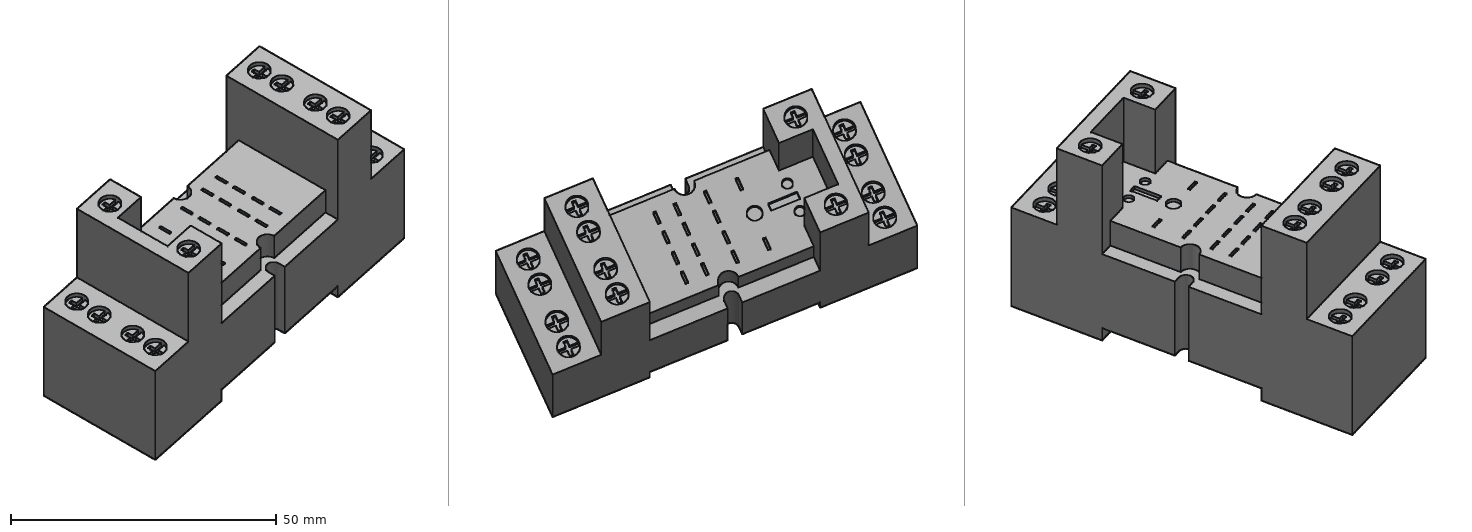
import cadquery as cq

LENGTH = 75.0
WIDTH = 27.0
HEIGHT = 42.5

STEP_LENGTH = LENGTH * 2 / 15
SHOULDER_HEIGHT = 24.0
LEDGE_HEIGHT = 21.0
RAIL_GAP_HEIGHT = 3.0

DECK_WIDTH = 21.0
DECK_HEIGHT = 27.0
BAY_LENGTH = LENGTH - 4 * STEP_LENGTH
TOWER_NOTCH_WIDTH = 12.0
TOWER_NOTCH_LENGTH = 7.0

SLOT_RADIUS = 1.5
CLEARANCE_RADIUS = 2.0

SCREW_RADIUS = 2.2
SCREW_RECESS = 1.0
CROSS_WIDTH = 0.75
CROSS_SHORT_ARM = 3.1
CROSS_LONG_ARM = 2 * SCREW_RADIUS
CROSS_DEPTH = 1.0
SCREW_OUTER_X = 9.5
SCREW_INNER_X = 4.05
SHOULDER_SCREW_Y = LENGTH / 2 - STEP_LENGTH / 2
TOWER_SCREW_Y = SHOULDER_SCREW_Y - STEP_LENGTH

PIN_LENGTH = 2.55
PIN_WIDTH = 0.5
PIN_DEPTH = 0.75
PIN_OUTER_X = 6.5
PIN_INNER_X = 2.25
PIN_FULL_ROWS_Y = (7.35, 3.15, -3.1)
PIN_COIL_ROW_Y = -9.6

KEY_DEPTH = 0.75
CENTRE_HOLE_RADIUS = 1.5
CENTRE_HOLE_Y = -9.9
KEY_SLOT_WIDTH = 1.6
KEY_SLOT_LENGTH = 5.9
KEY_SLOT_Y = -16.0
SIDE_HOLE_RADIUS = 1.05
SIDE_HOLE_X = 3.0
SIDE_HOLE_Y = -17.9


def block(size_x, size_y, bottom, top, x=0.0, y=0.0):
    """Upright box centred at (x, y) between two heights."""
    plane = cq.Workplane("XY", origin=(x, y, bottom))
    return plane.box(size_x, size_y, top - bottom, centered=(True, True, False))


def cylinder(radius, bottom, top, x, y):
    """Upright cylinder centred at (x, y) between two heights."""
    plane = cq.Workplane("XY", origin=(x, y, bottom))
    return plane.circle(radius).extrude(top - bottom)


def make_body():
    """Base with two towers, the deck between them and the gap for the mounting rail."""
    tower_span = LENGTH - 2 * STEP_LENGTH
    body = block(WIDTH, LENGTH, 0, SHOULDER_HEIGHT)
    body = body.union(block(WIDTH, tower_span, SHOULDER_HEIGHT, HEIGHT))
    body = body.cut(block(WIDTH, BAY_LENGTH, LEDGE_HEIGHT, HEIGHT))
    body = body.union(block(DECK_WIDTH, BAY_LENGTH, LEDGE_HEIGHT, DECK_HEIGHT))
    notch_y = -(BAY_LENGTH + TOWER_NOTCH_LENGTH) / 2
    body = body.cut(block(TOWER_NOTCH_WIDTH, TOWER_NOTCH_LENGTH, DECK_HEIGHT, HEIGHT, y=notch_y))
    return body.cut(block(WIDTH, BAY_LENGTH, 0, RAIL_GAP_HEIGHT))


def cut_mounting_slots(body):
    """Round-ended slot through each long side, with a wider round clearance in the deck."""
    slot_end_x = DECK_WIDTH / 2 + SLOT_RADIUS
    for side in (-1, 1):
        straight_length = WIDTH / 2 - slot_end_x
        straight_x = side * (slot_end_x + straight_length / 2)
        body = body.cut(cylinder(SLOT_RADIUS, 0, DECK_HEIGHT, side * slot_end_x, 0))
        body = body.cut(block(straight_length, 2 * SLOT_RADIUS, 0, DECK_HEIGHT, x=straight_x))
        body = body.cut(cylinder(CLEARANCE_RADIUS, LEDGE_HEIGHT, DECK_HEIGHT, side * DECK_WIDTH / 2, 0))
    return body


def cut_screw(body, x, y, top):
    """Round recess with a cross-shaped driver slot in its floor."""
    floor = top - SCREW_RECESS
    bottom = floor - CROSS_DEPTH
    head = cylinder(SCREW_RADIUS, bottom, floor, x, y)
    cross = block(CROSS_SHORT_ARM, CROSS_WIDTH, bottom, floor, x, y)
    cross = cross.union(block(CROSS_WIDTH, CROSS_LONG_ARM, bottom, floor, x, y))
    body = body.cut(cylinder(SCREW_RADIUS, floor, top, x, y))
    return body.cut(cross.intersect(head))


def cut_screws(body):
    """Four screws per terminal row, but only the outer two beside the tower notch."""
    outer_pair = (-SCREW_OUTER_X, SCREW_OUTER_X)
    full_row = outer_pair + (-SCREW_INNER_X, SCREW_INNER_X)
    rows = (
        (full_row, SHOULDER_SCREW_Y, SHOULDER_HEIGHT),
        (full_row, TOWER_SCREW_Y, HEIGHT),
        (outer_pair, -TOWER_SCREW_Y, HEIGHT),
        (full_row, -SHOULDER_SCREW_Y, SHOULDER_HEIGHT),
    )
    for row_x, y, top in rows:
        for x in row_x:
            body = cut_screw(body, x, y, top)
    return body


def cut_pin_sockets(body):
    """Three full rows of narrow sockets and one row with only the outer two."""
    outer_pair = (-PIN_OUTER_X, PIN_OUTER_X)
    full_row = outer_pair + (-PIN_INNER_X, PIN_INNER_X)
    places = [(x, y) for y in PIN_FULL_ROWS_Y for x in full_row]
    places += [(x, PIN_COIL_ROW_Y) for x in outer_pair]
    for x, y in places:
        body = body.cut(block(PIN_LENGTH, PIN_WIDTH, DECK_HEIGHT - PIN_DEPTH, DECK_HEIGHT, x, y))
    return body


def cut_key_openings(body):
    """Centre hole, key slot and the pair of small holes beside the slot."""
    floor = DECK_HEIGHT - KEY_DEPTH
    body = body.cut(cylinder(CENTRE_HOLE_RADIUS, floor, DECK_HEIGHT, 0, CENTRE_HOLE_Y))
    body = body.cut(block(KEY_SLOT_WIDTH, KEY_SLOT_LENGTH, floor, DECK_HEIGHT, y=KEY_SLOT_Y))
    for side in (-1, 1):
        body = body.cut(cylinder(SIDE_HOLE_RADIUS, floor, DECK_HEIGHT, side * SIDE_HOLE_X, SIDE_HOLE_Y))
    return body


result = make_body()
result = cut_mounting_slots(result)
result = cut_screws(result)
result = cut_pin_sockets(result)
result = cut_key_openings(result)